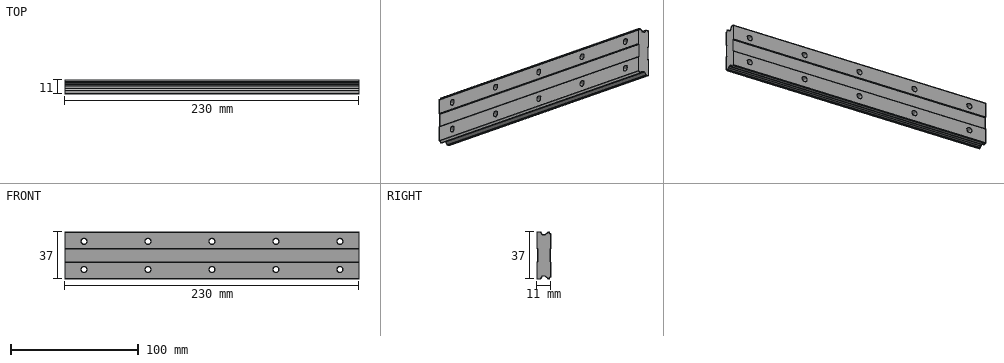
import cadquery as cq
import math

length = 230.0
thickness = 11.0
height = 37.0

front_y = -thickness / 2
back_y = thickness / 2
top_z = height / 2

recess_depth = 0.5
recess_floor_height = 10.0

front_chamfer = 0.5

wire_groove_radius = 1.29
corner_groove_width = 1.34
corner_groove_drop = 1.58

channel_depth = 2.25
back_land_end = 2.05
front_land_width = 2.83
front_wall_angle = 59.4

wall_groove_start_drop = 0.5
wall_groove_width = 1.15
wall_groove_drop = 0.8

hole_diameter = 4.5
hole_pitch = 50.0
hole_count = 5
hole_row_count = 2
hole_row_spacing = 22.0


def edge_point(inset, drop):
    """Point in the YZ section, measured inwards from the back face and down from the top."""
    return (back_y - inset, top_z - drop)


def mirrored(point):
    """Reflect a section point to the lower half."""
    return (point[0], -point[1])


def sunken_arc_middle(start, end):
    """Middle of a wire groove arc, bowed into the rail; runs from the back towards the front."""
    dy = end[0] - start[0]
    dz = end[1] - start[1]
    chord = math.hypot(dy, dz)
    sagitta = wire_groove_radius - math.sqrt(wire_groove_radius**2 - chord**2 / 4)
    middle_y = (start[0] + end[0]) / 2 - sagitta * dz / chord
    middle_z = (start[1] + end[1]) / 2 + sagitta * dy / chord
    return (middle_y, middle_z)


def upper_outline():
    """Upper half of the section from back to front, as (end point, arc middle or None) steps."""
    recess_floor_z = recess_floor_height / 2
    recess_mouth_z = recess_floor_z + recess_depth

    corner_start = edge_point(0, corner_groove_drop)
    corner_end = edge_point(corner_groove_width, 0)

    groove_start_inset = back_land_end + wall_groove_start_drop
    groove_end_inset = groove_start_inset + wall_groove_width
    groove_end_drop = wall_groove_start_drop + wall_groove_drop
    groove_start = edge_point(groove_start_inset, wall_groove_start_drop)
    groove_end = edge_point(groove_end_inset, groove_end_drop)

    floor_back = edge_point(groove_end_inset + channel_depth - groove_end_drop, channel_depth)
    front_wall_run = channel_depth / math.tan(math.radians(front_wall_angle))
    front_land_inset = thickness - front_land_width
    floor_front = edge_point(front_land_inset - front_wall_run, channel_depth)

    return [
        ((back_y - recess_depth, recess_floor_z), None),
        ((back_y, recess_mouth_z), None),
        (corner_start, None),
        (corner_end, sunken_arc_middle(corner_start, corner_end)),
        (edge_point(back_land_end, 0), None),
        (groove_start, None),
        (groove_end, sunken_arc_middle(groove_start, groove_end)),
        (floor_back, None),
        (floor_front, None),
        (edge_point(front_land_inset, 0), None),
        (edge_point(thickness - front_chamfer, 0), None),
        (edge_point(thickness, front_chamfer), None),
        ((front_y, recess_mouth_z), None),
        ((front_y + recess_depth, recess_floor_z), None),
    ]


def draw_step(sketch, end, arc_middle):
    """Add one straight or arc step to the outline."""
    if arc_middle is None:
        return sketch.lineTo(*end)
    return sketch.threePointArc(arc_middle, end)


def rail_body():
    """Rail with the same section along its whole length, symmetric about Z = 0."""
    outline = upper_outline()
    sketch = cq.Workplane("YZ", origin=(-length / 2, 0, 0)).moveTo(*outline[0][0])
    for end, arc_middle in outline[1:]:
        sketch = draw_step(sketch, end, arc_middle)

    sketch = sketch.lineTo(*mirrored(outline[-1][0]))
    for i in range(len(outline) - 1, 0, -1):
        end = mirrored(outline[i - 1][0])
        arc_middle = outline[i][1]
        if arc_middle is not None:
            arc_middle = mirrored(arc_middle)
        sketch = draw_step(sketch, end, arc_middle)
    return sketch.close().extrude(length)


def mounting_holes():
    """Two rows of round holes right through the thickness."""
    return (
        cq.Workplane("XZ")
        .rarray(hole_pitch, hole_row_spacing, hole_count, hole_row_count)
        .circle(hole_diameter / 2)
        .extrude(thickness, both=True)
    )


result = rail_body().cut(mounting_holes())